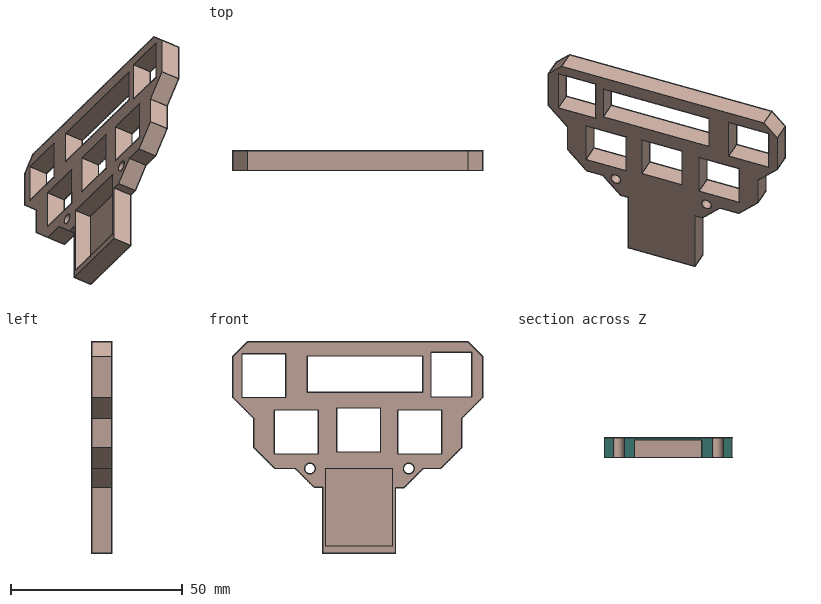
import cadquery as cq


width = 72.69
height = 61.58
thickness = 5.84
top_chamfer = 4.25
side_bottom_z = 45.4
side_step = 6.1
waist_bottom_z = 30.8
shelf_z = waist_bottom_z - side_step

tongue_left = 26.1
tongue_width = 21.25
tongue_right = tongue_left + tongue_width
left_wing_top_x = 18.2
left_wing_drop = 5.5
right_wing_top_x = 55.4
right_wing_drop = 5.65

pocket_width = 19.5
pocket_depth = 5.08
pocket_bottom_z = 2.2
pocket_left = tongue_left + (tongue_width - pocket_width) / 2
pocket_height = shelf_z - pocket_bottom_z

hole_diameter = 3.05
left_hole_x = 22.45
hole_spacing = 28.75

switch_size = 12.7
upper_left_switch = (2.7, 45.35)
lower_switch_z = 28.95
lower_left_switch = (12.1, lower_switch_z)
lower_middle_switch = (30.25, 29.55)
lower_right_switch = (48.0, lower_switch_z)

upper_right_window = (57.65, 45.55)
upper_right_window_size = (11.8, 12.9)

display_window = (21.7, 46.9)
display_window_size = (33.5, 10.5)


def make_plate():
    """Extrude the whole outline, including the tongue."""
    outline = [
        (top_chamfer, height),
        (width - top_chamfer, height),
        (width, height - top_chamfer),
        (width, side_bottom_z),
        (width - side_step, side_bottom_z - side_step),
        (width - side_step, waist_bottom_z),
        (width - 2 * side_step, shelf_z),
        (right_wing_top_x, shelf_z),
        (right_wing_top_x - right_wing_drop, shelf_z - right_wing_drop),
        (tongue_right, shelf_z - right_wing_drop),
        (tongue_right, 0),
        (tongue_left, 0),
        (tongue_left, shelf_z - left_wing_drop),
        (left_wing_top_x + left_wing_drop, shelf_z - left_wing_drop),
        (left_wing_top_x, shelf_z),
        (2 * side_step, shelf_z),
        (side_step, waist_bottom_z),
        (side_step, side_bottom_z - side_step),
        (0, side_bottom_z),
        (0, height - top_chamfer),
    ]
    return cq.Workplane("XZ").polyline(outline).close().extrude(-thickness)


def make_cutter(corner, size, depth):
    """Rectangular block going in from the front face, placed by its lower left corner."""
    corner_x, corner_z = corner
    size_x, size_z = size
    block = cq.Workplane("XY").box(size_x, depth, size_z, centered=False)
    return block.translate((corner_x, 0, corner_z))


def cut_windows(plate):
    """Cut the switch windows, the odd-sized window and the display window."""
    square = (switch_size, switch_size)
    windows = [
        (upper_left_switch, square),
        (lower_left_switch, square),
        (lower_middle_switch, square),
        (lower_right_switch, square),
        (upper_right_window, upper_right_window_size),
        (display_window, display_window_size),
    ]
    for corner, size in windows:
        plate = plate.cut(make_cutter(corner, size, thickness))
    return plate


def cut_pocket(plate):
    """Sink the tongue pocket, leaving a thin floor at the back."""
    corner = (pocket_left, pocket_bottom_z)
    return plate.cut(make_cutter(corner, (pocket_width, pocket_height), pocket_depth))


def cut_screw_holes(plate):
    """Drill the two through holes beside the pocket."""
    centers = [(left_hole_x, shelf_z), (left_hole_x + hole_spacing, shelf_z)]
    drills = cq.Workplane("XZ").pushPoints(centers).circle(hole_diameter / 2).extrude(-thickness)
    return plate.cut(drills)


result = cut_screw_holes(cut_pocket(cut_windows(make_plate())))